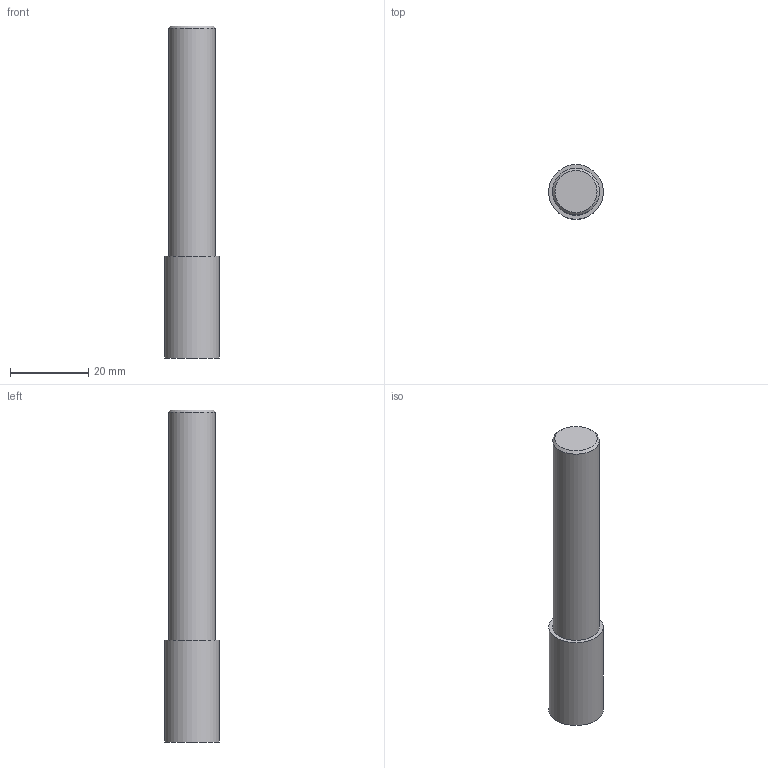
import cadquery as cq

total_length = 85.0
head_diameter = 14.0
head_length = 26.0
shank_diameter = 12.0
shank_chamfer = 0.6


def make_head():
    """Larger cylinder standing on the XY plane."""
    return cq.Workplane("XY").circle(head_diameter / 2).extrude(head_length)


def make_shank():
    """Slimmer cylinder above the head, chamfered at its free end."""
    shank = (
        cq.Workplane("XY")
        .workplane(offset=head_length)
        .circle(shank_diameter / 2)
        .extrude(total_length - head_length)
    )
    return shank.faces(">Z").chamfer(shank_chamfer)


result = make_head().union(make_shank())